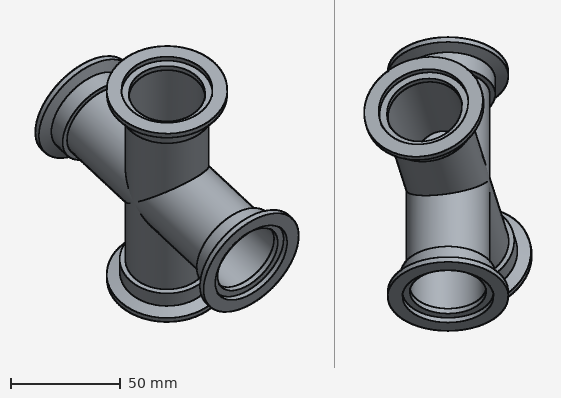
import cadquery as cq

SPAN = 124.9
HALF_SPAN = SPAN / 2

TUBE_OUTER_RADIUS = 38.1 / 2
BORE_RADIUS = 34.7 / 2

FLANGE_RADIUS = 55.0 / 2
COLLAR_RADIUS = 43.1 / 2
RECESS_RADIUS = 41.5 / 2
RIM_THICKNESS = 2.7
TAPER_END_DEPTH = 4.4
FLANGE_LENGTH = 12.7
RECESS_DEPTH = 2.6
SOCKET_DEPTH = 5.4

ARM_COUNT = 4
ARM_ANGLE = 360 / ARM_COUNT
TUBE_LENGTH = SPAN - 2 * SOCKET_DEPTH


def crossing_cylinders(radius):
    """Two equal cylinders along X and Z, joined where they cross at the origin."""
    along_x = cq.Workplane("YZ").circle(radius).extrude(TUBE_LENGTH / 2, both=True)
    along_z = cq.Workplane("XY").circle(radius).extrude(TUBE_LENGTH / 2, both=True)
    return along_x.union(along_z)


def make_tube_cross():
    """Hollow four-way tube whose ends seat in the flange sockets."""
    return crossing_cylinders(TUBE_OUTER_RADIUS).cut(crossing_cylinders(BORE_RADIUS))


def make_flange():
    """Clamp flange of the +Z arm: recessed face, tapered back, socket for the tube end."""
    face_z = HALF_SPAN
    socket_z = face_z - SOCKET_DEPTH
    recess_z = face_z - RECESS_DEPTH
    collar_end_z = face_z - FLANGE_LENGTH
    profile = [
        (RECESS_RADIUS, face_z),
        (FLANGE_RADIUS, face_z),
        (FLANGE_RADIUS, face_z - RIM_THICKNESS),
        (COLLAR_RADIUS, face_z - TAPER_END_DEPTH),
        (COLLAR_RADIUS, collar_end_z),
        (TUBE_OUTER_RADIUS, collar_end_z),
        (TUBE_OUTER_RADIUS, socket_z),
        (BORE_RADIUS, socket_z),
        (BORE_RADIUS, recess_z),
        (RECESS_RADIUS, recess_z),
    ]
    return cq.Workplane("XZ").polyline(profile).close().revolve(360, (0, 0, 0), (0, 1, 0))


tube_cross = make_tube_cross()

flanges = []
for arm in range(ARM_COUNT):
    flange = make_flange().rotate((0, 0, 0), (0, 1, 0), arm * ARM_ANGLE)
    flanges.append(flange.val())

result = cq.Compound.makeCompound([tube_cross.solids().val(), *flanges])